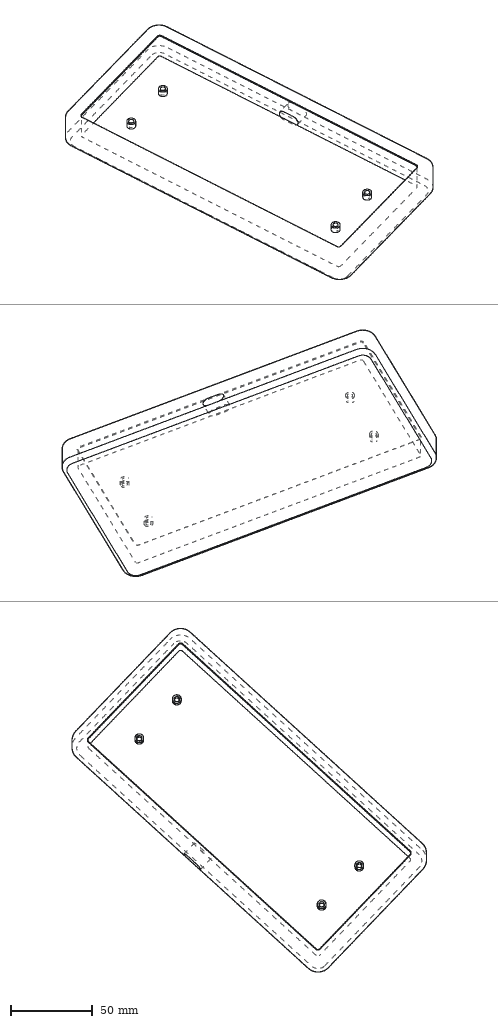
import cadquery as cq

LENGTH = 211.5
WIDTH = 102.0
HEIGHT = 22.0
CORNER_RADIUS = 8.7
BOTTOM_CHAMFER = 3.0
TOP_FILLET = 1.3

RIM_WIDTH = 9.0
FLOOR_THICKNESS = 4.0
POCKET_CORNER_RADIUS = 1.5
POCKET_EDGE_CHAMFER = 0.5

STANDOFF_DIAMETER = 5.5
STANDOFF_BORE = 3.2
STANDOFF_HEIGHT = 4.0
STANDOFF_SPACING_X = 152.7
STANDOFF_SPACING_Y = 33.6

SLOT_LENGTH = 14.0
SLOT_HEIGHT = 7.0
SLOT_DIP = 1.0


def make_body():
    """Rounded block with a chamfered base and a softened top edge."""
    block = (
        cq.Workplane("XY")
        .box(LENGTH, WIDTH, HEIGHT, centered=(True, True, False))
        .edges("|Z").fillet(CORNER_RADIUS)
    )
    return block.faces("<Z").edges().chamfer(BOTTOM_CHAMFER).faces(">Z").edges().fillet(TOP_FILLET)


def make_pocket():
    """Volume of the pocket with rounded vertical corners."""
    pocket_length = LENGTH - 2 * RIM_WIDTH
    pocket_width = WIDTH - 2 * RIM_WIDTH
    return (
        cq.Workplane("XY", origin=(0, 0, FLOOR_THICKNESS))
        .box(pocket_length, pocket_width, HEIGHT - FLOOR_THICKNESS, centered=(True, True, False))
        .edges("|Z").fillet(POCKET_CORNER_RADIUS)
    )


def make_standoffs():
    """Four tubes standing on the pocket floor."""
    return (
        cq.Workplane("XY", origin=(0, 0, FLOOR_THICKNESS))
        .rect(STANDOFF_SPACING_X, STANDOFF_SPACING_Y, forConstruction=True)
        .vertices()
        .circle(STANDOFF_DIAMETER / 2)
        .circle(STANDOFF_BORE / 2)
        .extrude(STANDOFF_HEIGHT)
    )


def make_cable_slot():
    """Round-ended passage from the pocket to the outside of the +Y wall."""
    inner_wall_y = WIDTH / 2 - RIM_WIDTH
    slot_center_z = FLOOR_THICKNESS - SLOT_DIP + SLOT_HEIGHT / 2
    return (
        cq.Workplane("XZ", origin=(0, inner_wall_y, slot_center_z))
        .slot2D(SLOT_LENGTH, SLOT_HEIGHT)
        .extrude(-RIM_WIDTH)
    )


tray = make_body().cut(make_pocket())
tray = tray.faces(">Z").wires(cq.selectors.LengthNthSelector(0)).edges().chamfer(POCKET_EDGE_CHAMFER)
result = tray.cut(make_cable_slot()).union(make_standoffs())